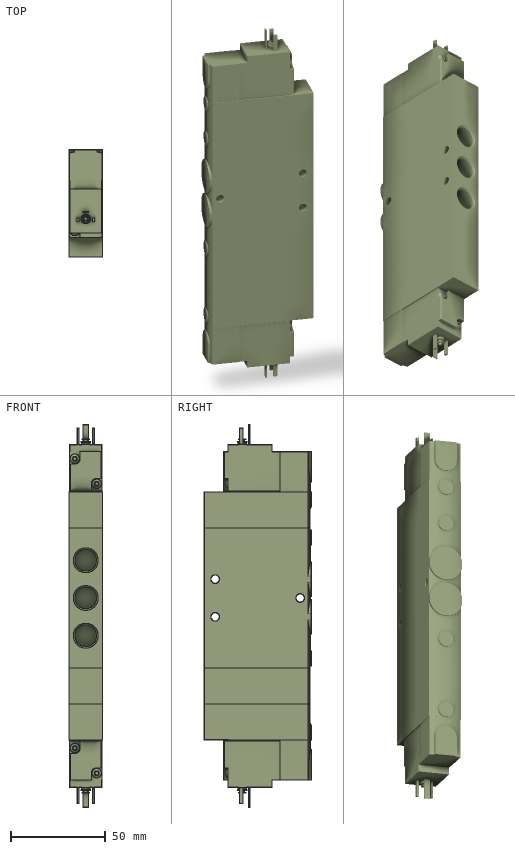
import cadquery as cq


WIDTH = 18.0
HALF_WIDTH = WIDTH / 2
OVERALL_DEPTH = 57.0
OVERALL_HEIGHT = 203.0
SIDE_DEPTH = 55.2
CREST_DEPTH = 56.35
BLOCK_HEIGHT = 19.0
CENTRE_HEIGHT = 74.5
STACK_HEIGHT = CENTRE_HEIGHT + 3 * BLOCK_HEIGHT

CAP_OUTER_Z = STACK_HEIGHT / 2
CAP_INNER_Z = CAP_OUTER_Z - BLOCK_HEIGHT
CENTRE_BOTTOM_Z = CAP_INNER_Z - CENTRE_HEIGHT
CENTRE_MID_Z = (CAP_INNER_Z + CENTRE_BOTTOM_Z) / 2

PORT_PITCH = 20.0
PORT_DIAMETER = 11.45
PORT_MOUTH_DIAMETER = 13.157
PORT_DEPTH = 12.0
MOUNT_DIAMETER = 4.4
MOUNT_FRONT_Y = 5.9
MOUNT_REAR_Y = 51.0
REAR_PORT_BOSS_DIAMETER = 18.3
REAR_SCREW_BOSS_DIAMETER = 8.0
REAR_SCREW_BOSS_OFFSET = 32.1
BOSS_ROOT_Y = 53.0

PILOT_HALF_WIDTH = 8.7
PILOT_TOP_Z = 87.1
PILOT_FRONT_Y = 40.4
PILOT_PAD_WIDTH = 12.0
PILOT_PAD_HEIGHT = 16.2

SOLENOID_WIDTH = 17.0
SOLENOID_TOP_Z = 90.9
SOLENOID_HEAD_FRONT_Y = 12.7
SOLENOID_HEAD_REAR_Y = 36.1
FOOT_HEIGHT = 0.5
FOOT_INSET = 0.2
PLATE_FRONT_Y = 10.4
PLATE_EDGE_CHAMFER = 0.5
PLATE_BOTTOM_Z = CAP_OUTER_Z + FOOT_HEIGHT
SCREW_X = 5.8
UPPER_SCREW_Z = 83.4
LOWER_SCREW_Z = 70.1
SCREW_POCKET_DIAMETER = 5.6
SCREW_BASE_DIAMETER = 5.0
SCREW_TIP_DIAMETER = 2.5
SCREW_HEIGHT = 1.1
SCREW_SOCKET_DIAMETER = 2.0
SCREW_SOCKET_DEPTH = 0.8

SIDE_BLADE_Y = 19.8
STUD_Y = 20.3
EARTH_PIN_Y = 24.0
SIDE_BLADE_X = 4.0
SIDE_BLADE_THICKNESS = 1.1
SIDE_BLADE_WIDTH = 2.0
SIDE_BLADE_LENGTH = 8.7
EARTH_PIN_WIDTH = 3.0
EARTH_PIN_THICKNESS = 0.6
EARTH_PIN_LENGTH = OVERALL_HEIGHT / 2 - SOLENOID_TOP_Z
STUD_HOLE_DIAMETER = 2.0
STUD_HOLE_DEPTH = 2.0
STUD_STEPS = [(4.4, 1.2), (5.0, 1.7), (2.5, 2.7), (3.8, 3.0)]


def box_between(x0, x1, y0, y1, z0, z1):
    """Box spanning the given limits."""
    return cq.Workplane("XY").box(x1 - x0, y1 - y0, z1 - z0, centered=False).translate((x0, y0, z0))


def crowned_block(half_width, front_y, z0, z1):
    """Block with flat sides and a crowned rear face."""
    return (
        cq.Workplane("XY", origin=(0, 0, z0))
        .moveTo(-half_width, front_y)
        .lineTo(half_width, front_y)
        .lineTo(half_width, SIDE_DEPTH)
        .threePointArc((0, CREST_DEPTH), (-half_width, SIDE_DEPTH))
        .close()
        .extrude(z1 - z0)
    )


def cylinder_along_y(diameter, x, z, y0, y1):
    """Cylinder with its axis along Y."""
    axis_plane = cq.Plane(origin=(x, y0, z), xDir=(1, 0, 0), normal=(0, 1, 0))
    return cq.Workplane(axis_plane).circle(diameter / 2).extrude(y1 - y0)


def rear_boss(diameter, z):
    """Round flat-topped boss on the rear face, trimmed to the valve width."""
    boss = cylinder_along_y(diameter, 0, z, BOSS_ROOT_Y, OVERALL_DEPTH)
    radius = diameter / 2
    width_limit = box_between(-HALF_WIDTH, HALF_WIDTH, 0, OVERALL_DEPTH, z - radius, z + radius)
    return boss.intersect(width_limit)


def front_port(z):
    """Cutter for a blind port with a countersunk mouth in the front face."""
    bore = cylinder_along_y(PORT_DIAMETER, 0, z, 0, PORT_DEPTH)
    mouth_depth = (PORT_MOUTH_DIAMETER - PORT_DIAMETER) / 2
    mouth = cq.Solid.makeCone(
        PORT_MOUTH_DIAMETER / 2, PORT_DIAMETER / 2, mouth_depth, cq.Vector(0, 0, z), cq.Vector(0, 1, 0)
    )
    return bore.union(cq.Workplane(mouth))


def mounting_hole(y, z):
    """Cutter for a hole through the full width."""
    return cq.Workplane("YZ", origin=(-HALF_WIDTH, y, z)).circle(MOUNT_DIAMETER / 2).extrude(WIDTH)


def make_centre_housing():
    """Ported housing with the mounting holes and rear bosses."""
    housing = crowned_block(HALF_WIDTH, 0, CENTRE_BOTTOM_Z, CAP_INNER_Z)
    for side in (-1, 1):
        half_pitch_z = CENTRE_MID_Z + side * PORT_PITCH / 2
        screw_z = CENTRE_MID_Z + side * REAR_SCREW_BOSS_OFFSET
        housing = housing.union(rear_boss(REAR_PORT_BOSS_DIAMETER, half_pitch_z))
        housing = housing.union(rear_boss(REAR_SCREW_BOSS_DIAMETER, screw_z))
        housing = housing.cut(mounting_hole(MOUNT_FRONT_Y, half_pitch_z))
    housing = housing.cut(mounting_hole(MOUNT_REAR_Y, CENTRE_MID_Z))
    for step in (-1, 0, 1):
        housing = housing.cut(front_port(CENTRE_MID_Z + step * PORT_PITCH))
    return housing


def make_intermediate_block():
    """Plain block between the centre housing and the lower end unit."""
    return crowned_block(HALF_WIDTH, 0, -CAP_INNER_Z, CENTRE_BOTTOM_Z)


def make_end_cap():
    """End cap with one rear boss level with its outer end."""
    boss_z = CAP_OUTER_Z - REAR_SCREW_BOSS_DIAMETER / 2
    cap = crowned_block(HALF_WIDTH, 0, CAP_INNER_Z, CAP_OUTER_Z)
    return cap.union(rear_boss(REAR_SCREW_BOSS_DIAMETER, boss_z))


def make_pilot_block():
    """Pilot block with a round-ended raised pad on its rear face."""
    pad_radius = PILOT_PAD_WIDTH / 2
    pad_round_z = PILOT_TOP_Z - PILOT_PAD_HEIGHT + pad_radius
    block = crowned_block(PILOT_HALF_WIDTH, PILOT_FRONT_Y, CAP_OUTER_Z, PILOT_TOP_Z)
    pad = box_between(-pad_radius, pad_radius, BOSS_ROOT_Y, OVERALL_DEPTH, pad_round_z, PILOT_TOP_Z)
    return block.union(pad).union(rear_boss(PILOT_PAD_WIDTH, pad_round_z))


def screw_pocket(inner_x, outer_x, inner_z, outer_z):
    """Cutter for a plate corner pocket, rounded at its inner corner."""
    x0, x1 = sorted((inner_x, outer_x))
    z0, z1 = sorted((inner_z, outer_z))
    inner_edge = "<X" if inner_x < outer_x else ">X"
    inner_end = "<Z" if inner_z < outer_z else ">Z"
    pocket = box_between(x0, x1, PLATE_FRONT_Y, SOLENOID_HEAD_FRONT_Y, z0, z1)
    corner = pocket.faces(inner_edge).edges(inner_end)
    return corner.fillet(SCREW_POCKET_DIAMETER / 2)


def plate_screw(x, z):
    """Tapered screw head with a round socket, standing on a pocket floor."""
    head = cq.Solid.makeCone(
        SCREW_BASE_DIAMETER / 2,
        SCREW_TIP_DIAMETER / 2,
        SCREW_HEIGHT,
        cq.Vector(x, SOLENOID_HEAD_FRONT_Y, z),
        cq.Vector(0, -1, 0),
    )
    tip_y = SOLENOID_HEAD_FRONT_Y - SCREW_HEIGHT
    socket = cylinder_along_y(SCREW_SOCKET_DIAMETER, x, z, tip_y, tip_y + SCREW_SOCKET_DEPTH)
    return cq.Workplane(head).cut(socket)


def make_front_plate():
    """Solenoid front plate with two corner pockets and their screws."""
    half_width = SOLENOID_WIDTH / 2
    pocket_radius = SCREW_POCKET_DIAMETER / 2
    pocket_x = SCREW_X - pocket_radius
    plate = box_between(
        -half_width, half_width, PLATE_FRONT_Y, SOLENOID_HEAD_FRONT_Y, PLATE_BOTTOM_Z, PILOT_TOP_Z
    )
    plate = plate.faces("<Y").edges("|Z").chamfer(PLATE_EDGE_CHAMFER)
    upper_pocket = screw_pocket(-pocket_x, -half_width, UPPER_SCREW_Z - pocket_radius, PILOT_TOP_Z)
    lower_pocket = screw_pocket(pocket_x, half_width, LOWER_SCREW_Z + pocket_radius, PLATE_BOTTOM_Z)
    plate = plate.cut(upper_pocket).cut(lower_pocket)
    screws = plate_screw(-SCREW_X, UPPER_SCREW_Z).union(plate_screw(SCREW_X, LOWER_SCREW_Z))
    return plate, screws


def make_solenoid():
    """Solenoid on an inset foot, with a raised head and a front plate."""
    half_width = SOLENOID_WIDTH / 2
    foot_half_width = half_width - FOOT_INSET
    foot_front_y = SOLENOID_HEAD_FRONT_Y + FOOT_INSET
    foot = box_between(
        -foot_half_width, foot_half_width, foot_front_y, PILOT_FRONT_Y, CAP_OUTER_Z, PLATE_BOTTOM_Z
    )
    coil = box_between(
        -half_width, half_width, SOLENOID_HEAD_FRONT_Y, PILOT_FRONT_Y, PLATE_BOTTOM_Z, PILOT_TOP_Z
    )
    head = box_between(
        -half_width, half_width, SOLENOID_HEAD_FRONT_Y, SOLENOID_HEAD_REAR_Y, PILOT_TOP_Z, SOLENOID_TOP_Z
    )
    plate, screws = make_front_plate()
    return foot.union(coil).union(head).union(plate).union(screws)


def add_connector(unit):
    """Add the two side blades, the earth pin and the stepped stud."""
    seat = cq.Workplane("XY", origin=(0, 0, SOLENOID_TOP_Z))
    side_blades = (
        seat.pushPoints([(-SIDE_BLADE_X, SIDE_BLADE_Y), (SIDE_BLADE_X, SIDE_BLADE_Y)])
        .rect(SIDE_BLADE_THICKNESS, SIDE_BLADE_WIDTH)
        .extrude(SIDE_BLADE_LENGTH)
    )
    earth_pin = (
        seat.center(0, EARTH_PIN_Y).rect(EARTH_PIN_WIDTH, EARTH_PIN_THICKNESS).extrude(EARTH_PIN_LENGTH)
    )
    unit = unit.union(side_blades).union(earth_pin)
    step_base = 0
    for diameter, step_top in STUD_STEPS:
        step = seat.workplane(offset=step_base).center(0, STUD_Y).circle(diameter / 2)
        unit = unit.union(step.extrude(step_top - step_base))
        step_base = step_top
    stud_top = seat.workplane(offset=step_base).center(0, STUD_Y)
    return unit.cut(stud_top.circle(STUD_HOLE_DIAMETER / 2).extrude(-STUD_HOLE_DEPTH))


def make_end_unit():
    """Upper end unit: cap, pilot block, solenoid and connector in one solid."""
    unit = make_end_cap().union(make_pilot_block()).union(make_solenoid())
    return add_connector(unit)


centre_housing = make_centre_housing()
intermediate_block = make_intermediate_block()

end_units = []
for turn in (0, 180):
    end_units.append(make_end_unit().rotate((0, 0, 0), (0, 1, 0), turn))

result = cq.Compound.makeCompound(
    [centre_housing.val(), intermediate_block.val(), *[unit.val() for unit in end_units]]
)